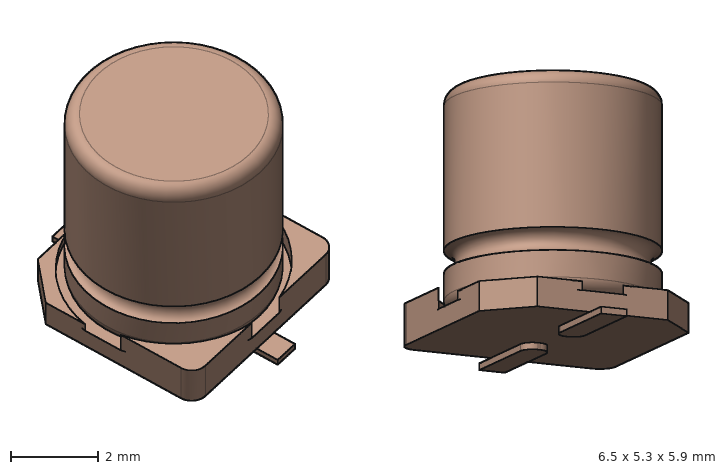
import cadquery as cq

total_height = 5.9
lead_span = 6.5

lead_width = 0.65
lead_thickness = 0.16
lead_inner_x = 0.75
lead_corner_radius = 0.3

base_side = 5.3
base_low_top = 0.86
base_high_top = 1.15
base_chamfer = 1.0
base_corner_radius = 0.4
pocket_radius = 2.7
pocket_floor = 0.65

can_diameter = 5.0
can_edge_radius = 0.34
groove_center_z = 1.89
groove_radius = 0.27
groove_depth = 0.25


def make_base():
    """Square plate, taller on +X, with a round seat for the can."""
    half_side = base_side / 2
    height = base_high_top - lead_thickness
    plate = (
        cq.Workplane("XY")
        .workplane(offset=lead_thickness)
        .rect(base_side, base_side)
        .extrude(height)
        .edges("|Z and <X")
        .chamfer(base_chamfer)
        .edges("|Z and >X")
        .fillet(base_corner_radius)
    )
    low_side = (
        cq.Workplane("XY")
        .workplane(offset=base_low_top)
        .center(-half_side / 2, 0)
        .rect(half_side, base_side)
        .extrude(base_high_top - base_low_top)
    )
    seat = (
        cq.Workplane("XY")
        .workplane(offset=pocket_floor)
        .circle(pocket_radius)
        .extrude(base_high_top - pocket_floor)
    )
    return plate.cut(low_side).cut(seat)


def make_can():
    """Cylinder with rounded rims and a rolled groove near its foot."""
    can_radius = can_diameter / 2
    can = (
        cq.Workplane("XY")
        .workplane(offset=pocket_floor)
        .circle(can_radius)
        .extrude(total_height - pocket_floor)
        .edges("%CIRCLE")
        .fillet(can_edge_radius)
    )
    groove_center_radius = can_radius - groove_depth + groove_radius
    groove = (
        cq.Workplane("XZ")
        .center(groove_center_radius, groove_center_z)
        .circle(groove_radius)
        .revolve(360, (-groove_center_radius, 0), (-groove_center_radius, 1))
    )
    return can.cut(groove)


def make_lead(side):
    """Flat lead on the +X (side = 1) or -X (side = -1) end, rounded inward."""
    length = lead_span / 2 - lead_inner_x
    inner_edges = "|Z and <X" if side > 0 else "|Z and >X"
    return (
        cq.Workplane("XY")
        .center(side * (lead_inner_x + length / 2), 0)
        .rect(length, lead_width)
        .extrude(lead_thickness)
        .edges(inner_edges)
        .fillet(lead_corner_radius)
    )


result = make_base().union(make_can())
for lead_side in (-1, 1):
    result = result.union(make_lead(lead_side))